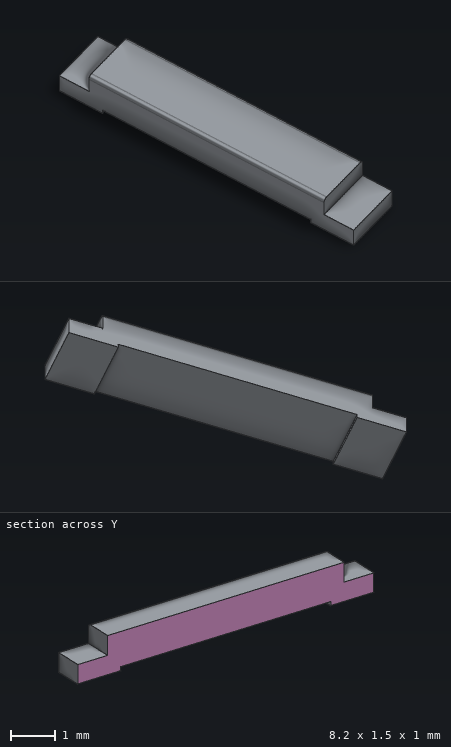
import cadquery as cq

length = 8.2
width = 1.5
height = 1.0

body_length = 6.55
end_tab_thickness = 0.5
recess_length = 5.8
recess_depth = 0.1

top_edge_radius = 0.1


def make_base():
    """Full-length slab whose ends form the thin tabs."""
    return cq.Workplane("XY").box(length, width, end_tab_thickness, centered=(True, True, False))


def make_body():
    """Raised central body with its long top edges rounded."""
    body = cq.Workplane("XY").box(body_length, width, height, centered=(True, True, False))
    return body.faces(">Z").edges("|X").fillet(top_edge_radius)


def make_recess():
    """Shallow relief across the underside, leaving a foot at each end."""
    return cq.Workplane("XY").box(recess_length, width, recess_depth, centered=(True, True, False))


result = make_base().union(make_body()).cut(make_recess())